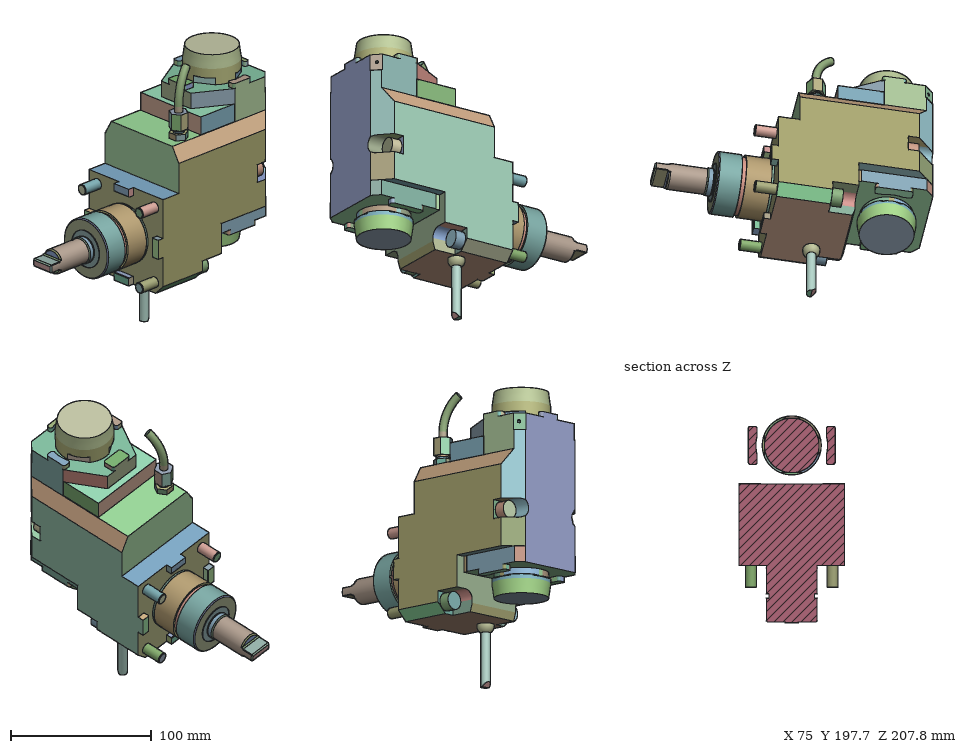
import cadquery as cq
import math


half_width = 37.5
flange_half = 37.5
rear_y = 114.0
step_y = 15.7
joint_y = 44.4
foot_rear_y = 58.2
bottom_chamfer = 7.5
foot_taper_depth = 1.8
foot_taper_height = 6.0
head_top_z = 72.0
head_top_half = 31.0
head_shoulder_z = 60.8
rear_bottom_z = 1.2
rear_chamfer = 12.2
plate_rear_chamfer = 12.8
lower_plate_rear_chamfer = 12.0

tool_y = 85.4
plate_half = 31.0
block_half = 30.5
plate_bottom_z = 85.8
plate_top_z = 97.8
plate_front_y = 49.7
plate_nose_half = 15.0
plate_shoulder_y = 77.8
lower_plate_z = -10.4
lower_plate_front_y = 61.4
pin_hole_diameter = 2.1
pin_hole_depth = 3.0
pin_hole_y = 110.4
pin_hole_z = 91.9

plate_key_height = 3.8
plate_key_half = 8.6
plate_key_inner = 24.5
plate_key_clearance_radius = 25.4
plate_key_round = 1.8
front_key_inner_y = 59.5
lower_key_half = 13.6

cap_diameter = 42.0
cap_tip_diameter = 39.0
cap_flat_offset = 19.4
cap_flat_height = 5.2
cap_flat_angle = 30.0
cap_shoulder_z = 110.0
cap_top_z = 120.5
lower_cap_rim_z = -15.2
lower_cap_flat_z = -15.9
lower_cap_shoulder_z = -18.6
lower_cap_end_z = -28.8

screw_offset = 29.0
screw_diameter = 8.0
screw_tip_chamfer = 0.5
screw_tip_y = -15.6
screw_head_diameter = 13.0
screw_head_height = 8.0
screw_pocket_diameter = 13.8
lower_pocket_y = 39.3
upper_pocket_y = 94.0
flange_key_half = 7.4
flange_key_depth = 6.2
flange_key_height = 4.7
flange_key_chamfer = 0.5

collar_radius = 22.5
collar_root_radius = 22.3
collar_root_length = 1.6
groove_radius = 21.0
groove_start = 20.0
groove_end = 23.0
collar_end = 40.0
collar_chamfer = 0.8
boss_radius = 14.0
boss_end = 40.6
ring_root_radius = 9.5
ring_root_end = 41.4
ring_radius = 10.0
ring_end = 45.9
ring_chamfer = 1.0
shaft_radius = 9.35
shoulder_end = 73.3
edge_chamfer = 1.0
spindle_end = 83.7
tang_half_thickness = 3.1
tang_edge_chamfer = 0.4

fitting_x = 22.7
fitting_y = 30.0
hex_across_flats = 12.0
base_hex_top_z = 76.6
neck_diameter = 8.15
neck_top_z = 78.3
nut_collar_diameter = 9.8
nut_bottom_z = 79.5
nut_top_z = 92.1
hose_diameter = 6.0
hose_straight_top_z = 96.5
hose_tip_z = 124.81
hose_bend_angle = 51.0
hose_lean = (-0.34, 0.94)

cable_x = -16.4
cable_y = 34.1
cable_diameter = 7.0
cable_end_z = -83.0
cable_end_chamfer = 3.5
gland_radius = 6.2
gland_center_z = -38.5


def prism_y(points, y_start, y_end):
    """Extrude an (x, z) outline along +Y."""
    plane = cq.Workplane("XZ", origin=(0, y_start, 0))
    return plane.polyline(points).close().extrude(y_start - y_end)


def prism_z(points, z_start, z_end):
    """Extrude an (x, y) outline along Z."""
    plane = cq.Workplane("XY", origin=(0, 0, z_start))
    return plane.polyline(points).close().extrude(z_end - z_start)


def box(x_range, y_range, z_range):
    """Axis-aligned block between the given limits."""
    sizes = [high - low for low, high in (x_range, y_range, z_range)]
    corner = (x_range[0], y_range[0], z_range[0])
    return cq.Workplane("XY").box(*sizes, centered=False).translate(corner)


def cylinder_y(x, z, diameter, y_start, y_end):
    """Cylinder parallel to Y."""
    plane = cq.Workplane("XZ", origin=(x, y_start, z))
    return plane.circle(diameter / 2).extrude(y_start - y_end)


def cylinder_z(x, y, diameter, z_start, z_end):
    """Cylinder parallel to Z."""
    plane = cq.Workplane("XY", origin=(x, y, z_start))
    return plane.circle(diameter / 2).extrude(z_end - z_start)


def make_housing():
    """Foot with flange, front head and rear head."""
    chamfer_x = flange_half - bottom_chamfer
    foot = prism_y(
        [
            (-half_width, flange_half),
            (-half_width, -chamfer_x),
            (-chamfer_x, -flange_half),
            (chamfer_x, -flange_half),
            (half_width, -chamfer_x),
            (half_width, flange_half),
        ],
        0,
        foot_rear_y,
    )
    taper = (
        cq.Workplane("YZ", origin=(-half_width, 0, 0))
        .moveTo(foot_rear_y, -flange_half)
        .lineTo(foot_rear_y - foot_taper_depth, -flange_half)
        .lineTo(foot_rear_y, -flange_half + foot_taper_height)
        .close()
        .extrude(2 * half_width)
    )
    head = prism_y(
        [
            (-half_width, rear_bottom_z),
            (half_width, rear_bottom_z),
            (half_width, head_shoulder_z),
            (head_top_half, head_top_z),
            (-head_top_half, head_top_z),
            (-half_width, head_shoulder_z),
        ],
        step_y,
        rear_y,
    )
    return foot.cut(taper).union(head)


def make_plates():
    """Raised block with the upper plate, and the lower plate."""
    block = box((-block_half, block_half), (joint_y, rear_y), (head_top_z, plate_bottom_z))
    column = box((-plate_half, plate_half), (plate_shoulder_y, rear_y), (head_top_z, plate_top_z))
    upper = prism_z(
        [
            (-plate_half, rear_y),
            (-plate_half, plate_shoulder_y),
            (-plate_nose_half, plate_front_y),
            (plate_nose_half, plate_front_y),
            (plate_half, plate_shoulder_y),
            (plate_half, rear_y),
        ],
        plate_bottom_z,
        plate_top_z,
    )
    lower = box(
        (-plate_half, plate_half), (lower_plate_front_y, rear_y), (lower_plate_z, rear_bottom_z)
    )
    filler = box(
        (-block_half, block_half), (foot_rear_y, lower_plate_front_y), (lower_plate_z, rear_bottom_z)
    )
    return block.union(column).union(upper).union(lower).union(filler)


def make_plate_keys(limits, z_range):
    """Rounded keys within the given (x, y) limits, relieved around the tool axis."""
    keys = cq.Workplane("XY")
    for x_range, y_range in limits:
        key = box(x_range, y_range, z_range)
        keys = keys.union(key.edges("|Z").fillet(plate_key_round))
    return keys.cut(cylinder_z(0, tool_y, 2 * plate_key_clearance_radius, *z_range))


def make_side_keys(half_length, z_range):
    """Pair of keys along the left and right plate edges."""
    y_range = (tool_y - half_length, tool_y + half_length)
    limits = [
        ((-plate_half, -plate_key_inner), y_range),
        ((plate_key_inner, plate_half), y_range),
    ]
    return make_plate_keys(limits, z_range)


def make_all_plate_keys():
    """Four keys on the upper plate and two longer ones under the lower plate."""
    upper_z = (plate_top_z, plate_top_z + plate_key_height)
    lower_z = (lower_plate_z - plate_key_height, lower_plate_z)
    middle_x = (-plate_key_half, plate_key_half)
    middle_limits = [
        (middle_x, (tool_y + plate_key_inner, rear_y)),
        (middle_x, (plate_front_y, front_key_inner_y)),
    ]
    keys = make_side_keys(plate_key_half, upper_z)
    keys = keys.union(make_plate_keys(middle_limits, upper_z))
    return keys.union(make_side_keys(lower_key_half, lower_z))


def cut_rear_corners(body, depth, z_start, z_end):
    """Bevel both vertical rear corners over a height range; depth is set at the housing sides."""
    for side in (-1, 1):
        corner = [
            (side * half_width, rear_y),
            (side * half_width, rear_y - depth),
            (side * (half_width - depth), rear_y),
        ]
        body = body.cut(prism_z(corner, z_start, z_end))
    return body


def cut_pin_holes(body):
    """Small holes square to the beveled corners of the upper plate."""
    bevel_sum = half_width + rear_y - plate_rear_chamfer
    for side in (-1, 1):
        mouth = cq.Vector(side * (bevel_sum - pin_hole_y), pin_hole_y, pin_hole_z)
        hole = cq.Solid.makeCylinder(
            pin_hole_diameter / 2, pin_hole_depth, mouth, cq.Vector(-side, -1, 0)
        )
        body = body.cut(cq.Workplane(hole))
    return body


def cut_screw_pockets(body):
    """Side pockets for the upper screw heads and corner notches for the lower ones."""
    radius = screw_pocket_diameter / 2
    for side in (-1, 1):
        x = side * screw_offset
        outer_x = sorted((x, side * half_width))
        upper = cylinder_y(x, screw_offset, screw_pocket_diameter, upper_pocket_y, rear_y)
        slot_z = (screw_offset - radius, screw_offset + radius)
        upper = upper.union(box(outer_x, (upper_pocket_y, rear_y), slot_z))

        y_range = (lower_pocket_y, foot_rear_y)
        inner_x = sorted((x - side * radius, side * half_width))
        lower = cylinder_y(x, -screw_offset, screw_pocket_diameter, *y_range)
        lower = lower.union(box(inner_x, y_range, (-flange_half, -screw_offset)))
        lower = lower.union(box(outer_x, y_range, (-flange_half, radius - screw_offset)))
        body = body.cut(upper).cut(lower)
    return body


def make_screws():
    """Four socket screws seated in the pockets and standing out of the flange."""
    screws = cq.Workplane("XY")
    for x in (-screw_offset, screw_offset):
        for z, seat_y in ((screw_offset, upper_pocket_y), (-screw_offset, lower_pocket_y)):
            shank = cylinder_y(x, z, screw_diameter, screw_tip_y, seat_y)
            shank = shank.faces("<Y").chamfer(screw_tip_chamfer)
            head = cylinder_y(x, z, screw_head_diameter, seat_y, seat_y + screw_head_height)
            screws = screws.union(shank).union(head)
    return screws


def make_flange_keys():
    """Four keys on the flange face, one at the middle of each edge."""
    inner = flange_half - flange_key_depth
    key = box(
        (-flange_key_half, flange_key_half), (-flange_key_height, 0), (inner, flange_half)
    )
    key = key.faces("<Y").edges("<Z").chamfer(flange_key_chamfer)
    keys = cq.Workplane("XY")
    for quarter in range(4):
        keys = keys.union(key.rotate((0, 0, 0), (0, 1, 0), 90 * quarter))
    return keys


def make_spindle():
    """Turned collar and shaft along -Y, ending in a flat tang."""
    profile = [
        (0, 0),
        (collar_root_radius, 0),
        (collar_root_radius, -collar_root_length),
        (collar_radius, -collar_root_length),
        (collar_radius, -groove_start),
        (groove_radius, -groove_start),
        (groove_radius, -groove_end),
        (collar_radius, -groove_end),
        (collar_radius, collar_chamfer - collar_end),
        (collar_radius - collar_chamfer, -collar_end),
        (boss_radius, -collar_end),
        (boss_radius, -boss_end),
        (ring_root_radius, -boss_end),
        (ring_root_radius, -ring_root_end),
        (ring_radius, -ring_root_end),
        (ring_radius, ring_chamfer - ring_end),
        (shaft_radius, -ring_end),
        (shaft_radius, edge_chamfer - spindle_end),
        (shaft_radius - edge_chamfer, -spindle_end),
        (0, -spindle_end),
    ]
    spindle = cq.Workplane("XY").polyline(profile).close().revolve(360, (0, 0, 0), (0, 1, 0))
    for side in (-1, 1):
        waste = [
            (-shoulder_end, side * shaft_radius),
            (-shoulder_end, side * (tang_half_thickness + edge_chamfer)),
            (-shoulder_end - edge_chamfer, side * tang_half_thickness),
            (edge_chamfer - spindle_end, side * tang_half_thickness),
            (-spindle_end, side * (tang_half_thickness - edge_chamfer)),
            (-spindle_end, side * shaft_radius),
        ]
        plane = cq.Workplane("YZ", origin=(-shaft_radius, 0, 0))
        spindle = spindle.cut(plane.polyline(waste).close().extrude(2 * shaft_radius))
    return spindle.cut(make_shoulder_bevel()).edges("|Y").chamfer(tang_edge_chamfer)


def make_shoulder_bevel():
    """Ring that bevels the shaft shoulder, leaving the sides of the tang whole."""
    section = [
        (shaft_radius, -shoulder_end),
        (shaft_radius, edge_chamfer - shoulder_end),
        (shaft_radius - edge_chamfer, -shoulder_end),
    ]
    ring = cq.Workplane("XY").polyline(section).close().revolve(360, (0, 0, 0), (0, 1, 0))
    tang_z = tang_half_thickness + edge_chamfer
    tang_zone = box((-collar_radius, collar_radius), (-spindle_end, 0), (-tang_z, tang_z))
    return ring.cut(tang_zone)


def make_cap(profile, flat_z_range, first_angle):
    """Turned cap on the tool axis with four wrench flats."""
    cap = cq.Workplane("XZ").polyline(profile).close().revolve(360, (0, 0, 0), (0, 1, 0))
    flat_half = math.sqrt((cap_diameter / 2) ** 2 - cap_flat_offset ** 2)
    waste = box((cap_flat_offset, cap_diameter), (-flat_half, flat_half), flat_z_range)
    for quarter in range(4):
        cap = cap.cut(waste.rotate((0, 0, 0), (0, 0, 1), first_angle + 90 * quarter))
    return cap.translate((0, tool_y, 0))


def make_caps():
    """Upper cap, and the lower cap standing on a narrower neck."""
    rim = cap_diameter / 2
    tip = cap_tip_diameter / 2
    upper_profile = [
        (0, plate_top_z),
        (rim, plate_top_z),
        (rim, cap_shoulder_z),
        (tip, cap_top_z),
        (0, cap_top_z),
    ]
    lower_profile = [
        (0, lower_plate_z),
        (tip, lower_plate_z),
        (tip, lower_cap_rim_z),
        (rim, lower_cap_rim_z),
        (rim, lower_cap_shoulder_z),
        (tip, lower_cap_end_z),
        (0, lower_cap_end_z),
    ]
    upper = make_cap(upper_profile, (plate_top_z, plate_top_z + cap_flat_height), cap_flat_angle)
    lower = make_cap(lower_profile, (lower_cap_flat_z, lower_plate_z), 0)
    return upper.union(lower)


def make_hex(z_start, z_end, angle):
    """Hexagonal prism on the fitting axis; angle 0 puts corners on X."""
    half_side_angle = math.pi / 6
    across_corners = hex_across_flats / math.cos(half_side_angle)
    prism = cq.Workplane("XY").polygon(6, across_corners).extrude(z_end - z_start)
    return prism.rotate((0, 0, 0), (0, 0, 1), angle).translate((fitting_x, fitting_y, z_start))


def make_hose():
    """Hose rising straight out of the nut, then bending over in one arc."""
    bend = math.radians(hose_bend_angle)
    tip_center_z = hose_tip_z - hose_diameter / 2 * math.sin(bend)
    bend_radius = (tip_center_z - hose_straight_top_z) / math.sin(bend)

    def bend_point(angle):
        return (bend_radius * (1 - math.cos(angle)), hose_straight_top_z + bend_radius * math.sin(angle))

    lean_plane = cq.Plane(
        origin=(fitting_x, fitting_y, 0),
        xDir=(hose_lean[0], hose_lean[1], 0),
        normal=(hose_lean[1], -hose_lean[0], 0),
    )
    path = (
        cq.Workplane(lean_plane)
        .moveTo(0, nut_top_z)
        .lineTo(0, hose_straight_top_z)
        .threePointArc(bend_point(bend / 2), bend_point(bend))
    )
    start = cq.Workplane("XY", origin=(fitting_x, fitting_y, nut_top_z))
    return start.circle(hose_diameter / 2).sweep(path)


def make_fitting():
    """Hose fitting on the front head: hexagon base, neck, union nut and hose."""
    fitting = make_hex(head_top_z, base_hex_top_z, 0)
    fitting = fitting.union(
        cylinder_z(fitting_x, fitting_y, neck_diameter, base_hex_top_z, neck_top_z)
    )
    fitting = fitting.union(
        cylinder_z(fitting_x, fitting_y, nut_collar_diameter, neck_top_z, nut_bottom_z)
    )
    return fitting.union(make_hex(nut_bottom_z, nut_top_z, 30)).union(make_hose())


def make_cable():
    """Cable hanging from a domed gland, with its end cut off at a slant."""
    cable = cylinder_z(cable_x, cable_y, cable_diameter, cable_end_z, -flange_half)
    back_y = cable_y + cable_diameter / 2
    slant = (
        cq.Workplane("YZ", origin=(cable_x - cable_diameter / 2, 0, 0))
        .moveTo(back_y, cable_end_z)
        .lineTo(back_y - cable_end_chamfer, cable_end_z)
        .lineTo(back_y, cable_end_z + cable_end_chamfer)
        .close()
        .extrude(cable_diameter)
    )
    dome = cq.Workplane("XY").sphere(gland_radius).translate((cable_x, cable_y, gland_center_z))
    return cable.cut(slant).union(dome)


body = make_housing().union(make_plates())
body = body.union(make_all_plate_keys())
body = cut_rear_corners(body, rear_chamfer, rear_bottom_z, plate_bottom_z)
body = cut_rear_corners(body, plate_rear_chamfer, plate_bottom_z, plate_top_z + plate_key_height)
body = cut_rear_corners(body, lower_plate_rear_chamfer, lower_plate_z, rear_bottom_z)
body = cut_screw_pockets(cut_pin_holes(body))

result = body
for piece in (
    make_screws(),
    make_flange_keys(),
    make_spindle(),
    make_caps(),
    make_fitting(),
    make_cable(),
):
    result = result.union(piece)